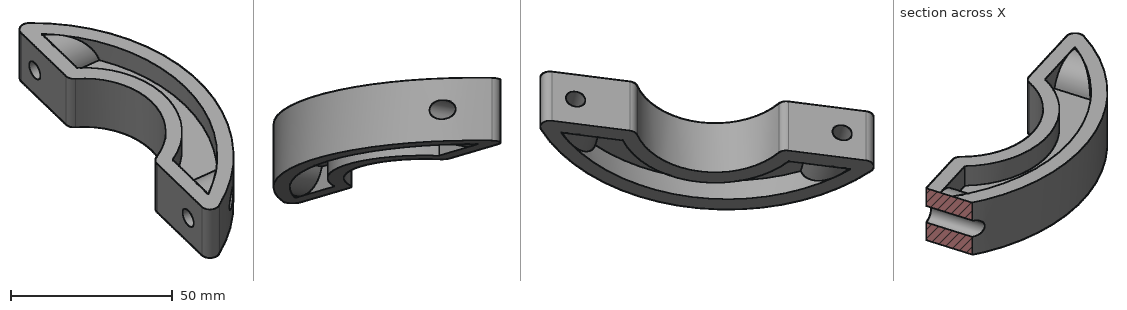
import cadquery as cq
import math

length = 105.0
depth = 32.5
height = 20.0
wall = 5.0
corner_radius = 3.0
bore_radius = 25.2
bore_crown = 15.0
web_thickness = 5.0
hole_diameter = 6.1
hole_offset = 42.0
boss_radius = height / 2

tip_x = length / 2 - corner_radius
tip_drop = depth - corner_radius
outer_radius = (tip_x**2 + tip_drop**2 - corner_radius**2) / (2 * (tip_drop - corner_radius))
outer_center = depth - outer_radius
bore_center = bore_crown - bore_radius
mid_height = height / 2


def half_chord(radius, center_y, y):
    """Half width of a circle at the given Y."""
    return math.sqrt(radius**2 - (y - center_y) ** 2)


def crescent(inset, bottom, thickness):
    """Solid bounded by the two arcs and the feet, all offset inward by inset."""
    outer = outer_radius - inset
    inner = bore_radius + inset
    outer_x = half_chord(outer, outer_center, inset)
    inner_x = half_chord(inner, bore_center, inset)
    return (
        cq.Workplane("XY", origin=(0, 0, bottom))
        .moveTo(-outer_x, inset)
        .threePointArc((0, outer_center + outer), (outer_x, inset))
        .lineTo(inner_x, inset)
        .threePointArc((0, bore_center + inner), (-inner_x, inset))
        .close()
        .extrude(thickness)
    )


def rods(radius):
    """Pair of cylinders along Y, centred on the bolt holes."""
    return (
        cq.Workplane("XZ", origin=(0, 0, mid_height))
        .pushPoints([(-hole_offset, 0), (hole_offset, 0)])
        .circle(radius)
        .extrude(-depth)
    )


body = crescent(0, 0, height).edges("|Z").fillet(corner_radius)

pocket_depth = (height - web_thickness) / 2
bosses = rods(boss_radius)
for pocket_bottom in (0, height - pocket_depth):
    pocket = crescent(wall, pocket_bottom, pocket_depth).cut(bosses)
    body = body.cut(pocket)

result = body.cut(rods(hole_diameter / 2))